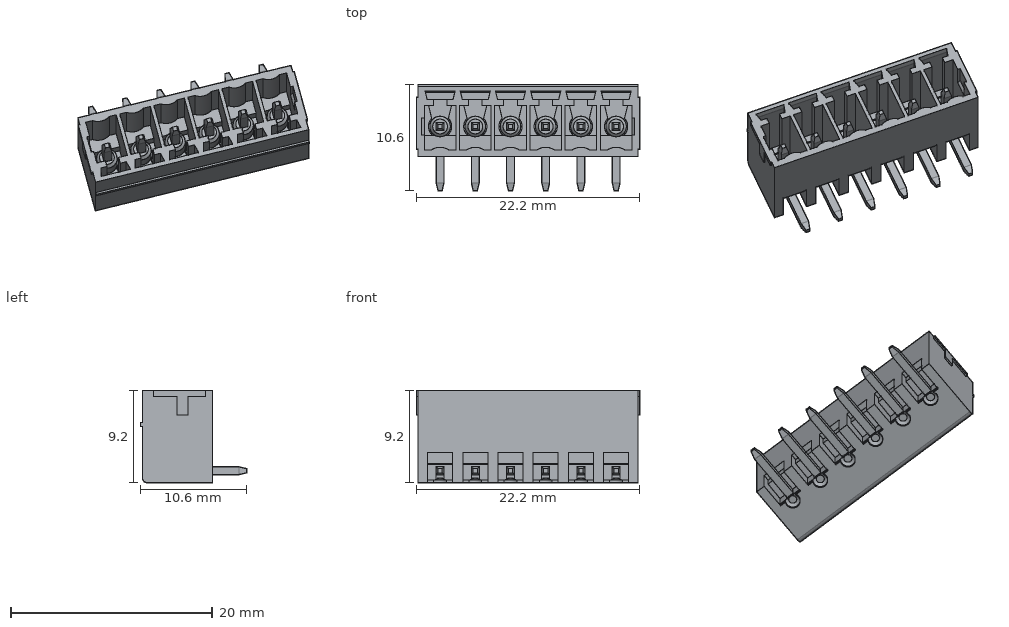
import cadquery as cq


overall_length = 22.2
ear_thickness = 0.15
body_length = overall_length - 2 * ear_thickness
body_depth = 7.0
body_height = 9.2
bottom_edge_radius = 0.49

pin_count = 6
row_span = 17.5
pitch = row_span / (pin_count - 1)
pin_xs = [(i - (pin_count - 1) / 2) * pitch for i in range(pin_count)]
pin_y = 3.0

rib_projection = 0.2
rib_height = 0.42
rib_bottom = 5.57

ear_y_start = 0.73
ear_y_end = 5.9
ear_bar_height = 0.6
ear_stem_width = 1.13
ear_stem_height = 2.46

cavity_width = 3.13
cavity_front = 0.67
cavity_back = 5.06
step_y = 2.09
front_floor = 3.45
rear_floor = 2.22
channel_drop = 0.22
channel_floor = rear_floor - channel_drop
groove_floor = rear_floor

bump_width = 1.7
bump_height = 0.27

channel_back = 6.55
channel_back_width = 3.0
channel_pin_width = 1.27
tab_back = 5.68
tab_gap = 1.35
lead_in_depth = 0.09
back_wall_draft = 0.07
lead_in_height = 0.55

notch_depth = 0.27
notch_width = 1.65
notch_height = 2.45

collar_recess_radius = 1.15
collar_radius = 1.02
collar_top_radius = 0.73
collar_rise = 0.1
collar_cone_height = 0.33
collar_shoulder = front_floor + collar_rise

pin_size = 0.8
pin_tip_size = 0.42
pin_taper = 0.8
pin_top = 7.55
pin_bottom = 0.47
tail_z = 1.2
tail_end = -3.4

window_width = 2.49
window_height = 3.02
window_depth = 0.62
pocket_depth = 2.53
pocket_front_height = 1.93
pocket_back_height = 1.8
foot_height = 0.27
foot_setback = 0.1
pin_hole_radius = 0.73


def box(x0, x1, y0, y1, z0, z1):
    """Axis-aligned block between two corners."""
    return cq.Workplane("XY").box(x1 - x0, y1 - y0, z1 - z0, centered=False).translate((x0, y0, z0))


def centred_box(x, width, y0, y1, z0, z1):
    """Block centred on x."""
    return box(x - width / 2, x + width / 2, y0, y1, z0, z1)


def make_body():
    """Solid housing block with the back rib and the T-shaped end ears."""
    body = centred_box(0, body_length, 0, body_depth, 0, body_height)
    body = body.edges("|X and >Y and <Z").fillet(bottom_edge_radius)
    rib = centred_box(
        0, body_length, body_depth, body_depth + rib_projection, rib_bottom, rib_bottom + rib_height
    )
    ear_bar = centred_box(
        0, overall_length, ear_y_start, ear_y_end, body_height - ear_bar_height, body_height
    )
    ear_stem = centred_box(
        0, overall_length, pin_y - ear_stem_width / 2, pin_y + ear_stem_width / 2,
        body_height - ear_stem_height, body_height
    )
    return body.union(rib).union(ear_bar).union(ear_stem)


def make_channel(x):
    """Flared channel from the pin to the sloped back wall, less the two tabs and a floor step."""
    channel = (
        cq.Workplane("XY", origin=(x, 0, channel_floor))
        .moveTo(-channel_pin_width / 2, pin_y)
        .lineTo(channel_pin_width / 2, pin_y)
        .lineTo(channel_back_width / 2, channel_back)
        .lineTo(-channel_back_width / 2, channel_back)
        .close()
        .extrude(body_height - channel_floor)
    )
    tabs = centred_box(x, cavity_width, cavity_back, tab_back, channel_floor, body_height)
    tabs = tabs.cut(centred_box(x, tab_gap, cavity_back, tab_back, channel_floor, body_height))
    groove_step = centred_box(x, cavity_width, tab_back, channel_back, channel_floor, groove_floor)
    back_wall = (
        cq.Workplane("YZ", origin=(x - channel_back_width / 2, 0, 0))
        .moveTo(channel_back, body_height)
        .lineTo(channel_back - lead_in_depth, body_height - lead_in_height)
        .lineTo(channel_back - lead_in_depth - back_wall_draft, channel_floor)
        .lineTo(channel_back, channel_floor)
        .close()
        .extrude(channel_back_width)
    )
    return channel.cut(tabs).cut(groove_step).cut(back_wall)


def make_cavity(x):
    """Opening for one plug position, with its two floor levels and the front key bump."""
    cavity = centred_box(x, cavity_width, cavity_front, cavity_back, front_floor, body_height)
    cavity = cavity.union(centred_box(x, cavity_width, step_y, cavity_back, rear_floor, body_height))
    bump = (
        cq.Workplane("XY", origin=(x, cavity_front, front_floor))
        .moveTo(-bump_width / 2, 0)
        .threePointArc((0, bump_height), (bump_width / 2, 0))
        .close()
        .extrude(body_height - front_floor)
    )
    recess = (
        cq.Workplane("XY", origin=(x, pin_y, channel_floor))
        .circle(collar_recess_radius)
        .extrude(channel_drop)
        .intersect(centred_box(x, cavity_width, step_y, cavity_back, channel_floor, rear_floor))
    )
    return cavity.cut(bump).union(recess).union(make_channel(x))


def make_notch(side):
    """Notch in one end wall with a 45 degree floor; side is -1 or 1."""
    wall_x = pin_xs[-1] + cavity_width / 2
    notch_bottom = body_height - notch_height
    return (
        cq.Workplane("XZ", origin=(0, pin_y + notch_width / 2, 0))
        .moveTo(side * wall_x, body_height)
        .lineTo(side * (wall_x + notch_depth), body_height)
        .lineTo(side * (wall_x + notch_depth), notch_bottom + notch_depth)
        .lineTo(side * wall_x, notch_bottom)
        .close()
        .extrude(notch_width)
    )


def make_window(x):
    """Front window, the deeper pocket under its sloped ceiling and the slot in front of the pin."""
    window = centred_box(x, window_width, 0, window_depth, 0, window_height)
    pocket = (
        cq.Workplane("YZ", origin=(x - window_width / 2, 0, 0))
        .moveTo(0, 0)
        .lineTo(pocket_depth + foot_setback, 0)
        .lineTo(pocket_depth + foot_setback, foot_height)
        .lineTo(pocket_depth, foot_height)
        .lineTo(pocket_depth, pocket_back_height)
        .lineTo(window_depth, pocket_front_height)
        .lineTo(0, pocket_front_height)
        .close()
        .extrude(window_width)
    )
    slot = centred_box(x, pin_size, 0, pin_y - pin_size / 2, 0, tail_z)
    return window.union(pocket).union(slot)


def make_pin_hole(x):
    """Countersunk hole in the underside below the pin."""
    hole = cq.Workplane("XY", origin=(x, pin_y, 0)).circle(pin_hole_radius).extrude(foot_height)
    cone = (
        cq.Workplane("XY", origin=(x, pin_y, foot_height))
        .circle(pin_hole_radius)
        .workplane(offset=pin_bottom - foot_height)
        .circle(pin_size / 2)
        .loft()
    )
    return hole.union(cone)


def make_collar(x):
    """Round collar around the pin, standing on the recess floor and coned at the top."""
    base = (
        cq.Workplane("XY", origin=(x, pin_y, channel_floor))
        .circle(collar_radius)
        .extrude(collar_shoulder - channel_floor)
    )
    cone = (
        cq.Workplane("XY", origin=(x, pin_y, collar_shoulder))
        .circle(collar_radius)
        .workplane(offset=collar_cone_height)
        .circle(collar_top_radius)
        .loft()
    )
    return base.union(cone)


def square_bar(start_plane, straight_length):
    """Square bar with a tapered tip, growing along the plane normal."""
    tip = (
        start_plane.workplane(offset=straight_length)
        .rect(pin_size, pin_size)
        .workplane(offset=pin_taper)
        .rect(pin_tip_size, pin_tip_size)
        .loft()
    )
    return start_plane.rect(pin_size, pin_size).extrude(straight_length).union(tip)


def make_pin(x):
    """Right-angle pin: contact pointing up, solder tail pointing forward."""
    contact_start = cq.Workplane("XY", origin=(x, pin_y, pin_bottom))
    contact = square_bar(contact_start, pin_top - pin_taper - pin_bottom)
    tail_start = cq.Workplane("XZ", origin=(x, pin_y, tail_z))
    tail = square_bar(tail_start, pin_y - tail_end - pin_taper)
    return contact.union(tail)


result = make_body()
for x in pin_xs:
    result = result.cut(make_cavity(x)).cut(make_window(x)).cut(make_pin_hole(x))
for side in (-1, 1):
    result = result.cut(make_notch(side))
for x in pin_xs:
    result = result.union(make_collar(x)).union(make_pin(x))